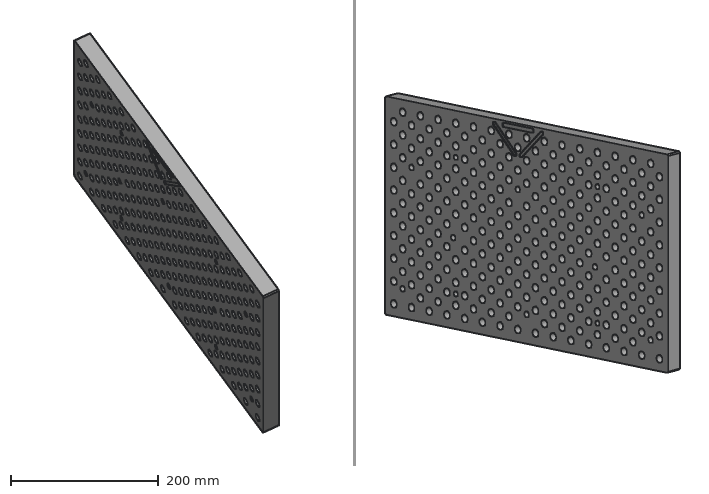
import cadquery as cq

length = 508.0
thickness = 24.5
height = 305.0
corner_chamfer = 2.0

row_count = 18
long_row_count = 16
hole_pitch = length / long_row_count
row_pitch = hole_pitch / 2
grid_hole_diameter = 10.5

mount_hole_diameter = 8.0
mount_middle_z = -25.5
mount_row_spacing = 86.0
mount_middle_shift = -4.5

blind_hole_diameter = 7.0
blind_hole_depth = 12.0
blind_hole_x = 4 * hole_pitch
blind_rows = (3, 15)

slot_depth = 1.5
level_slot_width = 6.0
level_slot_length = 56.0
level_slot_z = 146.5
slanted_slot_width = 5.0
slanted_slot_length = 57.5
slanted_slot_angle = 45.0
slanted_slot_x = 24.0
slanted_slot_z = 127.0
slot_centre_x = -row_pitch


def row_z(row):
    """Height of a grid row, counted from the top."""
    return ((row_count - 1) / 2 - row) * row_pitch


def row_xs(row):
    """Hole places along a row: short rows alternate with long ones."""
    count = long_row_count - 1 if row % 2 == 0 else long_row_count
    return [(column - (count - 1) / 2) * hole_pitch for column in range(count)]


def front_plane():
    """Sketch plane on the front face, with its normal facing out."""
    return cq.Workplane("XZ", origin=(0, -thickness / 2, 0))


def round_holes(places, diameter, depth):
    """Cylinders that run from the front face into the plate."""
    return front_plane().pushPoints(places).circle(diameter / 2).extrude(-depth)


def slot(x, z, slot_length, width, angle):
    """Round-ended slot cut, centred at x, z and turned by angle degrees."""
    return front_plane().center(x, z).slot2D(slot_length, width, angle).extrude(-slot_depth)


mount_rows = (
    (5, (1, 7, 14), mount_middle_z + mount_row_spacing, 0),
    (10, (3, 11), mount_middle_z, mount_middle_shift),
    (16, (0, 7, 14), mount_middle_z - mount_row_spacing, 0),
)
mount_places = []
left_out = set()
for row, columns, z, shift in mount_rows:
    for column in columns:
        mount_places.append((row_xs(row)[column] + shift, z))
        left_out.add((row, column))

grid_places = [
    (x, row_z(row))
    for row in range(row_count)
    for column, x in enumerate(row_xs(row))
    if (row, column) not in left_out
]
blind_places = [(x, row_z(row)) for x in (-blind_hole_x, blind_hole_x) for row in blind_rows]

plate = cq.Workplane("XY").box(length, thickness, height).edges("|Y").chamfer(corner_chamfer)
plate = plate.cut(round_holes(grid_places, grid_hole_diameter, thickness))
plate = plate.cut(round_holes(mount_places, mount_hole_diameter, thickness))
plate = plate.cut(round_holes(blind_places, blind_hole_diameter, blind_hole_depth))

plate = plate.cut(slot(slot_centre_x, level_slot_z, level_slot_length, level_slot_width, 0))
for side in (-1, 1):
    plate = plate.cut(
        slot(
            slot_centre_x + side * slanted_slot_x,
            slanted_slot_z,
            slanted_slot_length,
            slanted_slot_width,
            side * slanted_slot_angle,
        )
    )

result = plate